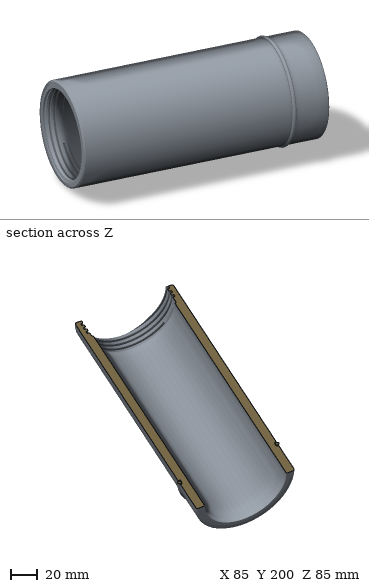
import cadquery as cq
tube_length = 200.0
tube_radius = 41.2
bore_radius = 34.0
end_chamfer = 1.0

ring_outer_radius = 42.5
ring_section_radius = 1.5
ring_side_clearance = 0.2
ring_center_radius = ring_outer_radius - ring_section_radius
ring_from_rear = 28.75
ring_y = tube_length / 2 - ring_from_rear

socket_radius = 35.2
socket_depth = 16.8
thread_pitch = 4.233
thread_root_radius = 37.1
thread_mouth_width = 2.0
thread_root_width = 1.2
thread_overlap = 0.3
thread_turns = 3.5
thread_start_angle = -40.0
thread_face_crossing_turn = 85.0 / 360.0
thread_start_overhang = thread_face_crossing_turn * thread_pitch


def cylinder_along_y(radius, length, start_y):
    plane = cq.Workplane("XZ", origin=(0, start_y, 0))
    return plane.circle(radius).extrude(-length)


def make_ring():
    section = cq.Workplane("XY").center(ring_center_radius, ring_y).circle(ring_section_radius)
    return section.revolve(360, (-ring_center_radius, 0, 0), (-ring_center_radius, 1, 0))


def make_ring_groove():
    width = 2 * (ring_section_radius + ring_side_clearance)
    floor_radius = ring_center_radius - ring_section_radius
    start_y = ring_y - width / 2
    outer = cylinder_along_y(ring_outer_radius, width, start_y)
    return outer.cut(cylinder_along_y(floor_radius, width, start_y))


def make_thread_groove():
    """Right-handed trapezoidal groove that starts just outside the end face."""
    mouth_radius = socket_radius - thread_overlap
    path = cq.Wire.makeHelix(thread_pitch, thread_pitch * thread_turns, socket_radius)
    groove = (
        cq.Workplane("XZ")
        .moveTo(mouth_radius, -thread_mouth_width / 2)
        .lineTo(thread_root_radius, -thread_root_width / 2)
        .lineTo(thread_root_radius, thread_root_width / 2)
        .lineTo(mouth_radius, thread_mouth_width / 2)
        .close()
        .sweep(cq.Workplane(obj=path), isFrenet=True)
    )
    groove = groove.rotate((0, 0, 0), (0, 0, 1), thread_start_angle)
    groove = groove.rotate((0, 0, 0), (1, 0, 0), -90)
    return groove.translate((0, -tube_length / 2 - thread_start_overhang, 0))


def make_tube():
    front_y = -tube_length / 2
    body = cylinder_along_y(tube_radius, tube_length, front_y).edges().chamfer(end_chamfer)
    body = body.cut(cylinder_along_y(bore_radius, tube_length, front_y))
    body = body.cut(cylinder_along_y(socket_radius, socket_depth, front_y))
    body = body.cut(make_ring_groove())
    return body.cut(make_thread_groove())


tube = make_tube()
ring = make_ring()
result = cq.Compound.makeCompound([tube.val(), ring.val()])